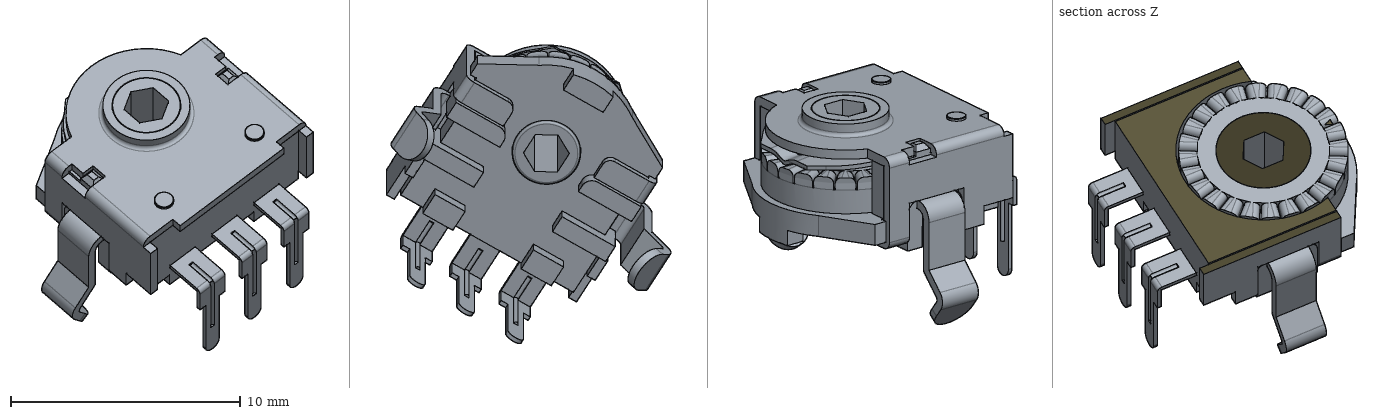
import cadquery as cq
import math


sheet = 0.4
ceiling_z = 4.18
plate_top_z = 4.61
collar_top_z = 5.19
cover_front_x = -1.3
cover_shoulder_x = 5.0
cover_rear_x = 5.48
cover_half_width = 4.85
rear_tab_half_width = 3.09
nose_radius = 3.51
collar_radius = 3.8 / 2
collar_foot_radius = 4.15 / 2
collar_bore_radius = 3.0 / 2
wall_bottom_z = 0.31
rear_wall_bottom_z = 1.18

window_x0, window_x1 = -0.2, 2.8
window_top_z = 2.29
rear_step_x = 3.9

notch_x0, notch_x1 = window_x0, 1.28
notch_inner_y = 4.26
notch_floor_z = 4.1
square_x0 = 0.51
square_inner_y = 3.65

tab_tip_y = 2.32
tab_corner_radius = 0.39
tab_bend_radius = 0.39

leg_x0, leg_x1 = 0.31, 2.29
leg_bend_radius = 0.8
leg_outer_y = 5.58
leg_knee_z = -0.75
leg_elbow_radius = 0.6
leg_tip_z = -3.51
leg_reach_y = 6.55
knee_angle = 45.0
tip_angle = 52.0

floor_bottom_z = 0.71
floor_top_z = 1.69
base_half_width = 4.4
base_rear_x = cover_shoulder_x
flange_half_width = 4.72
flange_rear_x = -1.39
flange_corner_x = -1.99
lip_radius = 4.09
lip_end_y = 2.38
cavity_radius = 3.81
front_foot_rear_x = -3.12
front_foot_half_width = 1.01
post_inner_y = 2.0
post_top_radius = 0.65
slot_x0, slot_x1 = 0.62, 1.99
slot_inner_y = 4.19
post_foot_radius = 0.5
rear_foot_x0 = 3.97
rear_foot_inner_y = 1.74
rear_foot_outer_y = 3.28
pin_x, pin_y = 4.02, 2.7
pin_radius = 0.85 / 2
pin_top_radius = 0.8 / 2
pin_top_z = 4.73
nub_shoulder_z = 4.38
nub_top_length = 0.42
nub_top_width = 0.28

rotor_radius = 7.4 / 2
rim_top_z = 3.38
tooth_root_z = 2.8
tooth_count = 24
tooth_edge_radius = 0.29
tooth_gap = 0.07
tooth_inner_radius = 2.88
hub_radius = 4.15 / 2
journal_radius = 2.95 / 2
journal_bottom_z = 0.59
journal_edge_radius = 0.1
hex_flats = 1.73

spring_thickness = 0.2
spring_radius = 3.63
spring_bore_radius = 2.58
spring_front_x = -3.39
spring_front_half_width = 1.66
spring_half_width = 3.51
spring_flare_x, spring_flare_y = -2.75, 2.36
spring_front_z = 3.81
spring_slope = 0.1
dip_half_width = 0.95
dip_depth = 0.28

terminal_pitch = 2.5
terminal_thickness = 0.2
terminal_bottom_z = 1.18
terminal_inner_x = 4.32
terminal_outer_x = 6.92
terminal_width = 1.49
terminal_leg_radius = 0.8 / 2
terminal_shoulder_z = 0.0
terminal_tip_z = -3.51
terminal_bend_radius = 0.22
bead_radius = 0.1
bead_start_x = 5.53
bead_end_z = -1.87


def box(x0, x1, y0, y1, z0, z1):
    """Box between two opposite corners."""
    size = (x1 - x0, y1 - y0, z1 - z0)
    return cq.Workplane("XY").box(*size, centered=False).translate((x0, y0, z0))


def cylinder(radius, z0, z1, x=0, y=0):
    """Upright cylinder between two heights."""
    return cq.Workplane("XY", origin=(x, y, z0)).circle(radius).extrude(z1 - z0)


def both_sides(shape):
    """The shape together with its mirror image across the XZ plane."""
    return shape.union(shape.mirror("XZ"))


def make_leg():
    """Snap leg on the +Y side: over the top bend, down, out to the elbow and back to a round tip."""
    slope = math.radians(knee_angle)
    tip_slope = math.radians(tip_angle)
    bend_y = leg_outer_y - leg_bend_radius
    bend_z = window_top_z - leg_bend_radius
    bend_inner = leg_bend_radius - sheet
    inner_y = leg_outer_y - sheet
    inner_knee_z = leg_knee_z - sheet * math.tan(slope / 2)

    elbow_y = leg_reach_y - leg_elbow_radius
    elbow_start_y = elbow_y + leg_elbow_radius * math.sin(slope)
    elbow_start_z = leg_knee_z - (elbow_start_y - leg_outer_y) * math.tan(slope)
    elbow_z = elbow_start_z - leg_elbow_radius * math.cos(slope)

    def on_elbow(radius, angle):
        return elbow_y + radius * math.cos(angle), elbow_z + radius * math.sin(angle)

    start_angle = math.pi / 2 - slope
    end_angle = tip_slope - math.pi / 2
    inner_radius = leg_elbow_radius - sheet
    outer_end = on_elbow(leg_elbow_radius, end_angle)
    inner_end = on_elbow(inner_radius, end_angle)

    tip_radius = (leg_x1 - leg_x0) / 2
    straight = (outer_end[1] - leg_tip_z) / math.sin(tip_slope) - tip_radius
    step = (-straight * math.cos(tip_slope), -straight * math.sin(tip_slope))
    outer_tip = (outer_end[0] + step[0], outer_end[1] + step[1])
    inner_tip = (inner_end[0] + step[0], inner_end[1] + step[1])

    half_turn = math.sqrt(0.5)
    strip = (
        cq.Workplane("YZ", origin=(leg_x0, 0, 0))
        .moveTo(cover_half_width - sheet, window_top_z)
        .lineTo(bend_y, window_top_z)
        .threePointArc(
            (bend_y + leg_bend_radius * half_turn, bend_z + leg_bend_radius * half_turn),
            (leg_outer_y, bend_z),
        )
        .lineTo(leg_outer_y, leg_knee_z)
        .lineTo(*on_elbow(leg_elbow_radius, start_angle))
        .threePointArc((leg_reach_y, elbow_z), outer_end)
        .lineTo(*outer_tip)
        .lineTo(*inner_tip)
        .lineTo(*inner_end)
        .threePointArc(on_elbow(inner_radius, 0), on_elbow(inner_radius, start_angle))
        .lineTo(inner_y, inner_knee_z)
        .lineTo(inner_y, bend_z)
        .threePointArc(
            (bend_y + bend_inner * half_turn, bend_z + bend_inner * half_turn),
            (bend_y, bend_z + bend_inner),
        )
        .lineTo(cover_half_width - sheet, bend_z + bend_inner)
        .close()
        .extrude(leg_x1 - leg_x0)
    )

    tip_plane = cq.Plane(
        origin=((leg_x0 + leg_x1) / 2, *inner_tip),
        xDir=(1, 0, 0),
        normal=(0, math.cos(end_angle), math.sin(end_angle)),
    )
    tip = (
        cq.Workplane(tip_plane)
        .moveTo(-tip_radius, 0)
        .threePointArc((0, tip_radius), (tip_radius, 0))
        .close()
        .extrude(sheet)
    )
    return strip.union(tip)


def make_collar():
    """Raised ring around the shaft with a concave fillet at its foot."""
    fillet = collar_foot_radius - collar_radius
    middle = fillet * (1 - math.sqrt(0.5))
    return (
        cq.Workplane("XZ")
        .moveTo(0, ceiling_z)
        .lineTo(collar_foot_radius, ceiling_z)
        .lineTo(collar_foot_radius, plate_top_z)
        .threePointArc(
            (collar_radius + middle, plate_top_z + middle),
            (collar_radius, plate_top_z + fillet),
        )
        .lineTo(collar_radius, collar_top_z)
        .lineTo(0, collar_top_z)
        .close()
        .revolve(360, (0, 0, 0), (0, 1, 0))
    )


def make_cover_wall():
    """Wall on the +Y side with its window, its raised rear edge and the tab under the base."""
    inner_y = cover_half_width - sheet
    wall = box(cover_front_x, cover_rear_x, inner_y, cover_half_width, wall_bottom_z, ceiling_z)
    window = box(window_x0, window_x1, inner_y, cover_half_width, wall_bottom_z, window_top_z)
    rear = box(
        rear_step_x, cover_rear_x, inner_y, cover_half_width, wall_bottom_z, rear_wall_bottom_z
    )
    tab = (
        box(cover_front_x, window_x0, tab_tip_y, inner_y, wall_bottom_z, floor_bottom_z)
        .edges("|Z and <X and <Y")
        .fillet(tab_corner_radius)
    )
    folded = wall.cut(window).cut(rear).union(tab)
    fold_edge = cq.selectors.BoxSelector(
        (cover_front_x - 0.13, cover_half_width - 0.13, wall_bottom_z - 0.13),
        (window_x0 + 0.13, cover_half_width + 0.13, wall_bottom_z + 0.13),
    )
    return folded.edges("|X").edges(fold_edge).fillet(tab_bend_radius)


def make_cover():
    height = (ceiling_z, plate_top_z)
    edge = cover_half_width
    plate = box(cover_front_x, cover_shoulder_x, -edge, edge, *height)
    plate = plate.edges("|X and >Z").edges("<Y or >Y").fillet(sheet)
    rear_tab = box(
        cover_shoulder_x, cover_rear_x, -rear_tab_half_width, rear_tab_half_width, *height
    )
    plate = plate.union(rear_tab).union(cylinder(nose_radius, *height))

    notch = box(notch_x0, notch_x1, notch_inner_y, edge, notch_floor_z, plate_top_z)
    notch = notch.union(
        box(square_x0, notch_x1, square_inner_y, notch_inner_y, ceiling_z, plate_top_z)
    )
    cover = plate.union(make_collar()).union(both_sides(make_cover_wall().union(make_leg())))
    cover = cover.cut(both_sides(notch)).cut(cylinder(collar_bore_radius, ceiling_z, collar_top_z))
    for y in (-pin_y, pin_y):
        cover = cover.cut(cylinder(pin_radius, *height, pin_x, y))
    return cover


def make_flange():
    """Front part of the floor: a curved lip running into straight flanks."""
    return (
        cq.Workplane("XY", origin=(0, 0, floor_bottom_z))
        .moveTo(flange_rear_x, flange_half_width)
        .lineTo(flange_corner_x, flange_half_width)
        .lineTo(-math.sqrt(lip_radius**2 - lip_end_y**2), lip_end_y)
        .threePointArc((-lip_radius, 0), (-math.sqrt(lip_radius**2 - lip_end_y**2), -lip_end_y))
        .lineTo(flange_corner_x, -flange_half_width)
        .lineTo(flange_rear_x, -flange_half_width)
        .close()
        .extrude(floor_top_z - floor_bottom_z)
    )


def make_post():
    """Support in the +Y window: a round-shouldered pad above a foot, relieved for the leg root."""
    pad = (
        box(window_x0, window_x1, base_half_width, flange_half_width, 0, window_top_z)
        .edges("|Y and >Z")
        .fillet(post_top_radius)
    )
    foot = (
        box(window_x0, window_x1, post_inner_y, flange_half_width, 0, floor_bottom_z)
        .edges("|Z and <X and <Y")
        .fillet(post_foot_radius)
    )
    root = box(
        leg_x0, leg_x1, cover_half_width - sheet, flange_half_width, window_top_z - sheet, window_top_z
    )
    slot = box(slot_x0, slot_x1, post_inner_y, flange_half_width, 0, floor_bottom_z)
    return pad.union(foot).cut(root).cut(slot)


def make_nub():
    """Locating nub in the +Y square opening: a block topped by a pyramid stump."""
    length = notch_x1 - square_x0
    width = base_half_width - square_inner_y
    center_x = (square_x0 + notch_x1) / 2
    center_y = (square_inner_y + base_half_width) / 2
    block = box(
        square_x0, notch_x1, square_inner_y, base_half_width, ceiling_z, nub_shoulder_z
    )
    stump = (
        cq.Workplane("XY", origin=(center_x, center_y, nub_shoulder_z))
        .rect(length, width)
        .workplane(offset=plate_top_z - nub_shoulder_z)
        .rect(nub_top_length, nub_top_width)
        .loft(ruled=True)
    )
    return block.union(stump)


def make_pin(y):
    """Pin through the cover plate with a bevelled head."""
    head = pin_top_z - plate_top_z
    bevel = pin_radius - pin_top_radius
    return cylinder(pin_radius, ceiling_z, plate_top_z + head, pin_x, y).faces(">Z").chamfer(bevel)


def make_base():
    half = base_half_width
    floor = box(flange_rear_x, base_rear_x, -half, half, floor_bottom_z, floor_top_z)
    walls = box(cover_front_x, base_rear_x, -half, half, floor_top_z, ceiling_z)
    walls = walls.cut(cylinder(cavity_radius, floor_top_z, ceiling_z))
    front_foot = cylinder(lip_radius, 0, floor_bottom_z).intersect(
        box(
            -lip_radius, front_foot_rear_x,
            -front_foot_half_width, front_foot_half_width, 0, floor_bottom_z,
        )
    )
    rear_foot = box(
        rear_foot_x0, base_rear_x, rear_foot_inner_y, rear_foot_outer_y, 0, floor_bottom_z
    )
    base = floor.union(walls).union(make_flange()).union(front_foot)
    base = base.union(both_sides(make_post().union(rear_foot).union(make_nub())))
    for y in (-pin_y, pin_y):
        base = base.union(make_pin(y))
    base = base.cut(cylinder(collar_bore_radius, floor_bottom_z, floor_top_z))
    leg_slot = box(slot_x0, slot_x1, slot_inner_y, flange_half_width, 0, window_top_z)
    base = base.cut(both_sides(leg_slot))

    slot_half = terminal_width / 2
    slot_top_z = terminal_bottom_z + terminal_thickness
    for y in terminal_places:
        slot = box(
            terminal_inner_x, base_rear_x, y - slot_half, y + slot_half, terminal_bottom_z, slot_top_z
        )
        base = base.cut(slot)
    return base


def make_tooth_gap():
    """Radial cut on the -X side: a narrow slot whose upper edges are rounded over."""
    slot = tooth_gap / 2
    flare_z = rim_top_z - tooth_edge_radius
    top = slot + tooth_edge_radius
    bulge = tooth_edge_radius * math.sqrt(0.5)
    return (
        cq.Workplane("YZ", origin=(-rotor_radius - 0.13, 0, 0))
        .moveTo(-slot, tooth_root_z)
        .lineTo(slot, tooth_root_z)
        .lineTo(slot, flare_z)
        .threePointArc((top - bulge, flare_z + bulge), (top, rim_top_z))
        .lineTo(-top, rim_top_z)
        .threePointArc((bulge - top, flare_z + bulge), (-slot, flare_z))
        .close()
        .extrude(rotor_radius + 0.13 - tooth_inner_radius)
    )


def make_rotor():
    journal = cylinder(journal_radius, journal_bottom_z, collar_top_z)
    journal = journal.faces("<Z").edges().fillet(journal_edge_radius)
    toothed_ring = cylinder(rotor_radius, tooth_root_z, rim_top_z)
    gap = make_tooth_gap()
    for i in range(tooth_count):
        toothed_ring = toothed_ring.cut(gap.rotate((0, 0, 0), (0, 0, 1), 360 * i / tooth_count))
    rotor = cylinder(rotor_radius, floor_top_z, tooth_root_z)
    rotor = rotor.union(cylinder(hub_radius, floor_top_z, ceiling_z)).union(journal)
    rotor = rotor.union(toothed_ring, clean=False)
    hexagon = (
        cq.Workplane("XY", origin=(0, 0, journal_bottom_z))
        .polygon(6, hex_flats / math.cos(math.pi / 6))
        .extrude(collar_top_z - journal_bottom_z)
    )
    return rotor.cut(hexagon, clean=False)


def make_spring():
    """Ring washer, flat at the rear and sloping down to a front edge with one detent dip."""
    slope_plane = cq.Plane(
        origin=(spring_front_x, 0, spring_front_z - spring_thickness),
        xDir=(0, 1, 0),
        normal=(1, 0, spring_slope),
    )
    crease_x = spring_front_x + (ceiling_z - spring_front_z) / spring_slope
    overlap = spring_thickness * spring_slope
    slope_length = (crease_x - spring_front_x) * math.hypot(1, spring_slope) + overlap
    half = spring_radius + 0.13
    level = ((1, 0), (1, 0))
    backward = ((-1, 0), (-1, 0))
    upper = spring_thickness
    sloped = (
        cq.Workplane(slope_plane)
        .moveTo(-half, 0)
        .lineTo(-dip_half_width, 0)
        .spline([(0, -dip_depth), (dip_half_width, 0)], tangents=level, includeCurrent=True)
        .lineTo(half, 0)
        .lineTo(half, upper)
        .lineTo(dip_half_width, upper)
        .spline(
            [(0, upper - dip_depth), (-dip_half_width, upper)], tangents=backward, includeCurrent=True
        )
        .lineTo(-half, upper)
        .close()
        .extrude(slope_length)
    )
    flat = box(crease_x, half, -half, half, ceiling_z - spring_thickness, ceiling_z)

    z0 = spring_front_z - spring_thickness - 2 * dip_depth
    height = ceiling_z - z0
    front = (
        cq.Workplane("XY", origin=(0, 0, z0))
        .polyline([
            (spring_front_x, -spring_front_half_width),
            (spring_front_x, spring_front_half_width),
            (spring_flare_x, spring_flare_y),
            (spring_flare_x, -spring_flare_y),
        ])
        .close()
        .extrude(height)
    )
    outline = cylinder(spring_radius, z0, ceiling_z).union(front)
    outline = outline.cut(cylinder(spring_bore_radius, z0, ceiling_z))
    outline = outline.intersect(
        box(spring_front_x, half, -spring_half_width, spring_half_width, z0, ceiling_z)
    )
    return sloped.union(flat).intersect(outline)


terminal_places = [i * terminal_pitch for i in (-1, 0, 1)]


def make_bead(start_x, face_x, face_z):
    """Round bar bent along two faces of the terminal."""
    along = (
        cq.Workplane("YZ", origin=(start_x, 0, 0))
        .center(0, face_z)
        .circle(bead_radius)
        .extrude(face_x - start_x)
    )
    return along.union(cylinder(bead_radius, bead_end_z, face_z, face_x))


def make_terminal(y):
    """Bent strip with a round-ended leg, stiffened by a bead pressed in from the outer side."""
    top_z = terminal_bottom_z + terminal_thickness
    inner_x = terminal_outer_x - terminal_thickness
    half = terminal_width / 2
    strip = box(
        terminal_inner_x, terminal_outer_x, -half, half, terminal_bottom_z, top_z
    ).union(box(inner_x, terminal_outer_x, -half, half, terminal_shoulder_z, top_z))
    strip = strip.edges("|Y and >X and >Z").fillet(terminal_bend_radius)

    tip_center_z = terminal_tip_z + terminal_leg_radius
    leg = (
        cq.Workplane("YZ", origin=(inner_x, 0, 0))
        .moveTo(-terminal_leg_radius, terminal_shoulder_z)
        .lineTo(-terminal_leg_radius, tip_center_z)
        .threePointArc((0, terminal_tip_z), (terminal_leg_radius, tip_center_z))
        .lineTo(terminal_leg_radius, terminal_shoulder_z)
        .close()
        .extrude(terminal_thickness)
    )
    ridge = make_bead(bead_start_x, inner_x, terminal_bottom_z)
    groove = make_bead(bead_start_x, terminal_outer_x, top_z)
    return strip.union(leg).union(ridge).cut(groove).translate((0, y, 0))


cover = make_cover()
base = make_base()
rotor = make_rotor()
spring = make_spring()
terminals = [make_terminal(y) for y in terminal_places]

result = cq.Compound.makeCompound(
    [base.val(), cover.val(), rotor.val(), spring.val(), *[t.val() for t in terminals]]
)